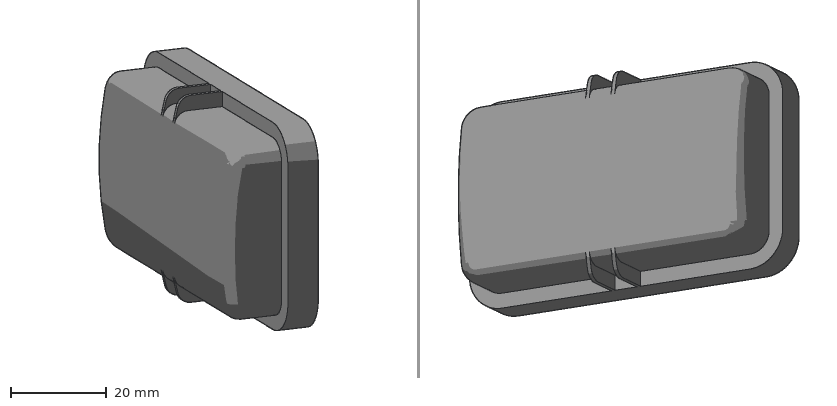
import cadquery as cq

flange_length = 75.3
flange_height = 44.8
flange_thickness = 6.9
flange_corner_radius = 7.8

total_depth = 19.5
body_inset = 3.25
body_length = flange_length - 2 * body_inset
body_height = flange_height - 2 * body_inset
body_corner_radius = flange_corner_radius - body_inset
dome_radius = 82.8
rim_fillet = 3.0

rib_thickness = 0.9
rib_gap = 5.2

dome_center_y = dome_radius - total_depth


def upright_plate(length, height, depth, corner_radius):
    """Plate centred on X and Z, running from Y = 0 to Y = -depth."""
    plate = cq.Workplane("XZ").rect(length, height).extrude(depth)
    return plate.edges("|Y").fillet(corner_radius)


def dome_cylinder(length):
    """Cylinder along X whose front surface is the dome."""
    return (
        cq.Workplane("YZ")
        .center(dome_center_y, 0)
        .circle(dome_radius)
        .extrude(length / 2, both=True)
    )


def domed_body():
    block = upright_plate(body_length, body_height, total_depth, body_corner_radius)
    domed = block.intersect(dome_cylinder(flange_length))
    return domed.faces("<Y").edges().fillet(rim_fillet)


def rib_pair_member(center_x):
    """Full-height web that shows as one rib above and one below the body."""
    web = cq.Workplane("XY").box(
        rib_thickness, total_depth, flange_height, centered=(True, False, True)
    )
    domed_web = web.translate((0, -total_depth, 0)).intersect(dome_cylinder(flange_length))
    rounded_web = domed_web.faces("<Y").edges("|X").fillet(rim_fillet)
    return rounded_web.translate((center_x, 0, 0))


result = upright_plate(flange_length, flange_height, flange_thickness, flange_corner_radius)
result = result.union(domed_body())

rib_offset = (rib_gap + rib_thickness) / 2
for side in (-1, 1):
    result = result.union(rib_pair_member(side * rib_offset))